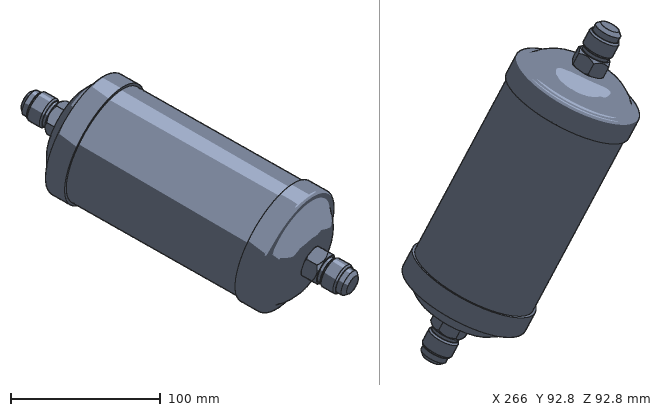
import cadquery as cq
import math

overall_length = 266.0
half_length = overall_length / 2

shell_radius = 44.45
cap_radius = 46.4
skirt_end_depth = 63.4
skirt_fillet = 2.2
dome_flat_depth = 33.8
dome_flat_radius = 18.3
dome_arc_radius = 23.8
dome_arc_sweep = math.radians(47)
dome_cone_length = 5.45
dome_root_fillet = 4.0

tip_radius = 6.9
neck_radius = 9.5
tip_cone_length = 2.7
thread_radius = 11.1
thread_start_depth = 6.8
thread_end_depth = 19.4
thread_chamfer_length = 1.5
thread_chamfer_height = 0.9

hex_sides = 6
hex_across_flats = 22.4
hex_corner_radius = hex_across_flats / 2 / math.cos(math.pi / hex_sides)
hex_outer_depth = 22.0
hex_outer_chamfer = 2.3
hex_inner_chamfer = 1.2
left_hex_corner_angle = 90.0
right_hex_corner_angle = 2.0


def cap_profile():
    """Half section (depth, radius) of one cap together with half of the shell."""
    slope_x = math.sin(dome_arc_sweep)
    slope_r = math.cos(dome_arc_sweep)
    half_sweep = dome_arc_sweep / 2

    def dome_point(angle):
        depth = dome_flat_depth + dome_arc_radius * (1 - math.cos(angle))
        return depth, dome_flat_radius + dome_arc_radius * math.sin(angle)

    arc_end = dome_point(dome_arc_sweep)
    cone_end = (arc_end[0] + dome_cone_length * slope_x, arc_end[1] + dome_cone_length * slope_r)
    shoulder_depth = cone_end[0] + dome_root_fillet * (1 - math.cos(dome_arc_sweep))
    shoulder_radius = cone_end[1] + dome_root_fillet * math.sin(dome_arc_sweep)

    def root_point(angle):
        depth = shoulder_depth - dome_root_fillet * (1 - math.cos(angle))
        return depth, shoulder_radius - dome_root_fillet * math.sin(angle)

    fillet_offset = skirt_fillet * (1 - math.sqrt(0.5))
    return (
        cq.Workplane("XY")
        .moveTo(dome_flat_depth, 0)
        .lineTo(dome_flat_depth, dome_flat_radius)
        .threePointArc(dome_point(half_sweep), arc_end)
        .lineTo(*cone_end)
        .threePointArc(root_point(half_sweep), (shoulder_depth, shoulder_radius))
        .lineTo(shoulder_depth, cap_radius - skirt_fillet)
        .threePointArc(
            (shoulder_depth + fillet_offset, cap_radius - fillet_offset),
            (shoulder_depth + skirt_fillet, cap_radius),
        )
        .lineTo(skirt_end_depth, cap_radius)
        .lineTo(skirt_end_depth, shell_radius)
        .lineTo(half_length, shell_radius)
        .lineTo(half_length, 0)
        .close()
    )


def revolve_about_x(profile):
    return profile.revolve(360, (0, 0, 0), (1, 0, 0))


def threaded_stub():
    """Flare cone, thread and necks, reaching in to the flat of the dome."""
    chamfer_radius = thread_radius - thread_chamfer_height
    profile = cq.Workplane("XY").polyline([
        (0, 0),
        (0, tip_radius),
        (tip_cone_length, neck_radius),
        (thread_start_depth, neck_radius),
        (thread_start_depth, chamfer_radius),
        (thread_start_depth + thread_chamfer_length, thread_radius),
        (thread_end_depth - thread_chamfer_length, thread_radius),
        (thread_end_depth, chamfer_radius),
        (thread_end_depth, neck_radius),
        (dome_flat_depth, neck_radius),
        (dome_flat_depth, 0),
    ]).close()
    return revolve_about_x(profile)


def hexagon(corner_angle):
    """Hexagon with its corners turned down to a cone at both ends."""
    prism = (
        cq.Workplane("YZ", origin=(hex_outer_depth, 0, 0))
        .polygon(hex_sides, 2 * hex_corner_radius)
        .extrude(dome_flat_depth - hex_outer_depth)
        .rotate((0, 0, 0), (1, 0, 0), corner_angle)
    )
    turned_envelope = revolve_about_x(
        cq.Workplane("XY").polyline([
            (hex_outer_depth, 0),
            (hex_outer_depth, hex_corner_radius - hex_outer_chamfer),
            (hex_outer_depth + hex_outer_chamfer, hex_corner_radius),
            (dome_flat_depth - hex_inner_chamfer, hex_corner_radius),
            (dome_flat_depth, hex_corner_radius - hex_inner_chamfer),
            (dome_flat_depth, 0),
        ]).close()
    )
    return prism.intersect(turned_envelope)


def left_half(hex_corner_angle):
    """Half of the drier, with its fitting tip on the -X end and the cut face at X = 0."""
    half = revolve_about_x(cap_profile()).union(threaded_stub()).union(hexagon(hex_corner_angle))
    return half.translate((-half_length, 0, 0))


right_half = left_half(right_hex_corner_angle).mirror("YZ")
result = left_half(left_hex_corner_angle).union(right_half)